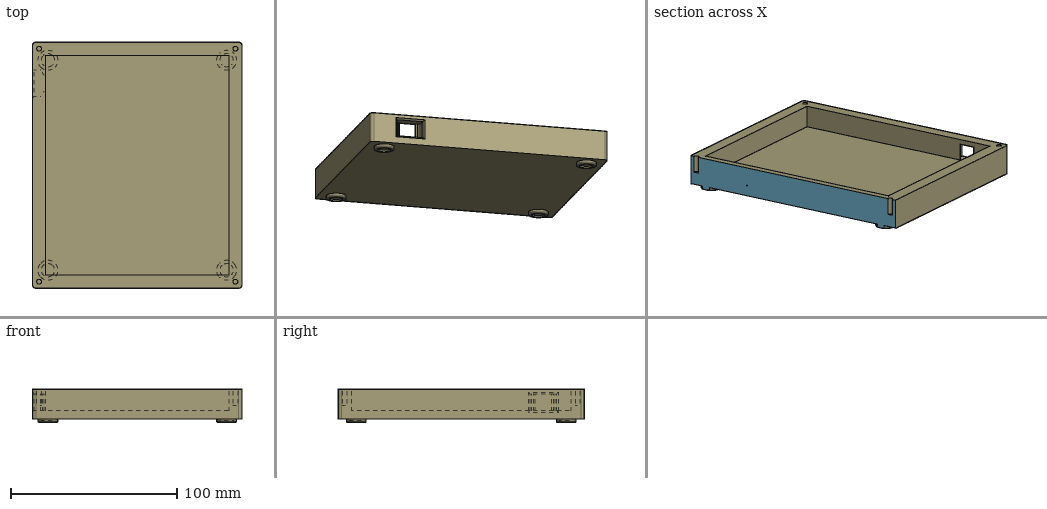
import cadquery as cq

length_x = 126.0
length_y = 148.0
body_height = 18.0
corner_radius = 2.0
wall = 8.0
floor_thickness = 5.0

screw_hole_diameter = 2.9
screw_hole_depth = 10.0
screw_hole_inset = wall / 2

foot_diameter = 12.0
foot_height = 2.0
foot_fillet = 0.8
foot_recess_diameter = 8.0
foot_recess_depth = 1.0
foot_inset_x = 9.3
foot_inset_y = 10.9

port_width = 16.0
port_height = 10.0
port_chamfer = 1.0
port_straight_depth = 5.0
port_step = 1.0
port_inset_y = 24.7

port_center_y = length_y / 2 - port_inset_y
outer_face_x = -length_x / 2


def corner_points(inset_x, inset_y):
    """Four points set in from the edges of the tray."""
    x = length_x / 2 - inset_x
    y = length_y / 2 - inset_y
    return [(-x, -y), (-x, y), (x, -y), (x, y)]


def make_body():
    body = cq.Workplane("XY").box(length_x, length_y, body_height, centered=(True, True, False))
    return body.edges("|Z").fillet(corner_radius)


def make_cavity():
    return (
        cq.Workplane("XY")
        .workplane(offset=floor_thickness)
        .rect(length_x - 2 * wall, length_y - 2 * wall)
        .extrude(body_height - floor_thickness)
    )


def make_screw_holes():
    return (
        cq.Workplane("XY")
        .workplane(offset=body_height - screw_hole_depth)
        .pushPoints(corner_points(screw_hole_inset, screw_hole_inset))
        .circle(screw_hole_diameter / 2)
        .extrude(screw_hole_depth)
    )


def make_feet():
    return (
        cq.Workplane("XY")
        .pushPoints(corner_points(foot_inset_x, foot_inset_y))
        .circle(foot_diameter / 2)
        .extrude(-foot_height)
        .faces("<Z")
        .edges()
        .fillet(foot_fillet)
    )


def make_foot_recesses():
    return (
        cq.Workplane("XY")
        .workplane(offset=-foot_height)
        .pushPoints(corner_points(foot_inset_x, foot_inset_y))
        .circle(foot_recess_diameter / 2)
        .extrude(foot_recess_depth)
    )


def make_port_passage():
    """Passage with a bevel, a flat ledge and a second bevel on each side."""
    half_width = port_width / 2
    ledge_depth = port_straight_depth + port_step
    throat_depth = ledge_depth + port_step
    throat_half_width = half_width - 3 * port_step
    side = [
        (0, half_width),
        (port_straight_depth, half_width),
        (ledge_depth, half_width - port_step),
        (ledge_depth, half_width - 2 * port_step),
        (throat_depth, throat_half_width),
        (wall, throat_half_width),
    ]
    upper = [(outer_face_x + depth, port_center_y + half) for depth, half in side]
    lower = [(outer_face_x + depth, port_center_y - half) for depth, half in reversed(side)]
    return (
        cq.Workplane("XY")
        .workplane(offset=floor_thickness)
        .polyline(upper + lower)
        .close()
        .extrude(port_height)
    )


def make_port_lead_in():
    """Bevelled lead-in around the mouth of the port."""
    mouth_center = (outer_face_x, port_center_y, floor_thickness + port_height / 2)
    mouth = cq.Plane(origin=mouth_center, xDir=(0, 1, 0), normal=(1, 0, 0))
    return (
        cq.Workplane(mouth)
        .rect(port_width + 2 * port_chamfer, port_height + 2 * port_chamfer)
        .workplane(offset=port_chamfer)
        .rect(port_width, port_height)
        .loft(ruled=True)
    )


result = (
    make_body()
    .cut(make_cavity())
    .cut(make_screw_holes())
    .cut(make_port_passage())
    .cut(make_port_lead_in())
    .union(make_feet())
    .cut(make_foot_recesses())
)